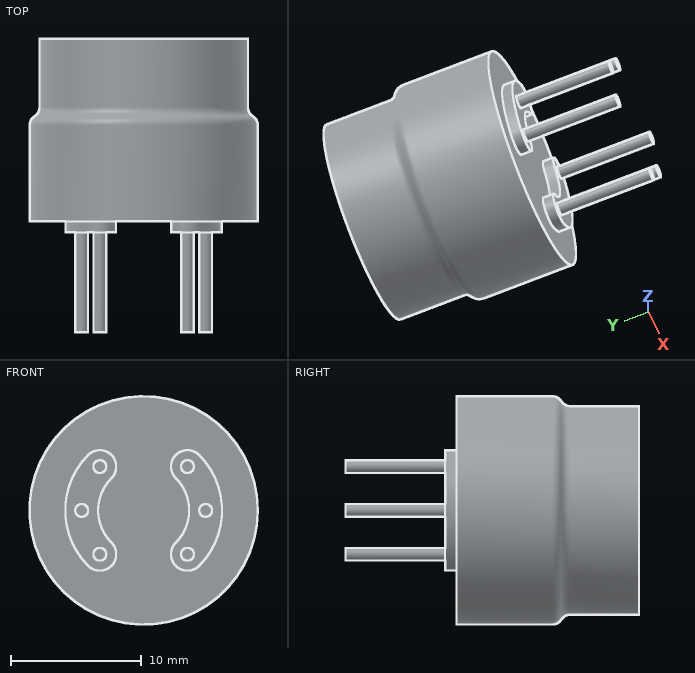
import cadquery as cq
import math

BODY_DIAMETER = 17.5
NECK_DIAMETER = 16.0
HOUSING_LENGTH = 14.0
NECK_LENGTH = 5.29
SHOULDER_RADIUS = 0.76
SHOULDER_ANGLE = 50.0

OVERALL_LENGTH = 22.5
PIN_DIAMETER = 1.0
PIN_CIRCLE_RADIUS = 4.75
PIN_SPACING_ANGLE = 45.0

PAD_HEIGHT = 0.85
PAD_WIDTH = 2.52
END_WALL = 0.9
DISC_THICKNESS = 0.9
DISC_RADIUS = PIN_CIRCLE_RADIUS + PAD_WIDTH / 2

PAD_FACE_Y = -PAD_HEIGHT
PIN_TIP_Y = HOUSING_LENGTH - OVERALL_LENGTH
DISC_BACK_Y = END_WALL + DISC_THICKNESS

SIDE_ANGLES = (0.0, 180.0)


def polar(radius, angle):
    """Point in the XZ plane at a radius and an angle in degrees."""
    return radius * math.cos(math.radians(angle)), radius * math.sin(math.radians(angle))


def extrude_along_y(sketch, start_y, end_y):
    """Extrude the outline that sketch draws in the XZ plane from start_y to end_y."""
    plane = cq.Workplane("XZ", origin=(0, start_y, 0))
    return sketch(plane).extrude(start_y - end_y)


def make_housing_blank():
    """Solid of revolution with two rounded bends and a short cone at the shoulder."""
    body_radius = BODY_DIAMETER / 2
    neck_radius = NECK_DIAMETER / 2
    slope = math.radians(SHOULDER_ANGLE)

    bend_length = SHOULDER_RADIUS * math.sin(slope)
    bend_rise = SHOULDER_RADIUS * (1 - math.cos(slope))
    half_bend_length = SHOULDER_RADIUS * math.sin(slope / 2)
    half_bend_rise = SHOULDER_RADIUS * (1 - math.cos(slope / 2))
    cone_length = (body_radius - neck_radius - 2 * bend_rise) / math.tan(slope)

    neck_base_y = HOUSING_LENGTH - NECK_LENGTH
    body_top_y = neck_base_y - 2 * bend_length - cone_length
    profile = (
        cq.Workplane("XY")
        .lineTo(body_radius, 0)
        .lineTo(body_radius, body_top_y)
        .threePointArc(
            (body_radius - half_bend_rise, body_top_y + half_bend_length),
            (body_radius - bend_rise, body_top_y + bend_length),
        )
        .lineTo(neck_radius + bend_rise, neck_base_y - bend_length)
        .threePointArc(
            (neck_radius + half_bend_rise, neck_base_y - half_bend_length),
            (neck_radius, neck_base_y),
        )
        .lineTo(neck_radius, HOUSING_LENGTH)
        .lineTo(0, HOUSING_LENGTH)
        .close()
    )
    return profile.revolve(360, (0, 0, 0), (0, 1, 0))


def pad_outline(plane, side_angle):
    """Arc-shaped slot about the Y axis, with round ends centred on the outer pins."""
    inner_radius = PIN_CIRCLE_RADIUS - PAD_WIDTH / 2
    outer_radius = PIN_CIRCLE_RADIUS + PAD_WIDTH / 2
    first = side_angle - PIN_SPACING_ANGLE
    last = side_angle + PIN_SPACING_ANGLE
    end_reach = math.degrees(math.atan2(PAD_WIDTH / 2, PIN_CIRCLE_RADIUS))
    end_radius = math.hypot(PIN_CIRCLE_RADIUS, PAD_WIDTH / 2)
    return (
        plane.moveTo(*polar(outer_radius, first))
        .threePointArc(polar(outer_radius, side_angle), polar(outer_radius, last))
        .threePointArc(polar(end_radius, last + end_reach), polar(inner_radius, last))
        .threePointArc(polar(inner_radius, side_angle), polar(inner_radius, first))
        .threePointArc(polar(end_radius, first - end_reach), polar(outer_radius, first))
        .close()
    )


def make_insulator_blank():
    """Inner disc with both pads, before the pin holes are made."""
    blank = extrude_along_y(lambda plane: plane.circle(DISC_RADIUS), DISC_BACK_Y, END_WALL)
    for side_angle in SIDE_ANGLES:
        pad = extrude_along_y(
            lambda plane: pad_outline(plane, side_angle), DISC_BACK_Y, PAD_FACE_Y
        )
        blank = blank.union(pad)
    return blank


def make_pin(angle):
    """Round pin from the back of the insulator to the free tip."""
    return extrude_along_y(
        lambda plane: plane.center(*polar(PIN_CIRCLE_RADIUS, angle)).circle(PIN_DIAMETER / 2),
        DISC_BACK_Y,
        PIN_TIP_Y,
    )


pins = [
    make_pin(side_angle + step * PIN_SPACING_ANGLE)
    for side_angle in SIDE_ANGLES
    for step in (-1, 0, 1)
]

insulator_blank = make_insulator_blank()
housing = make_housing_blank().cut(insulator_blank)

insulator = insulator_blank
for pin in pins:
    insulator = insulator.cut(pin)

result = cq.Compound.makeCompound(
    [housing.solids().val(), insulator.solids().val(), *(pin.val() for pin in pins)]
)